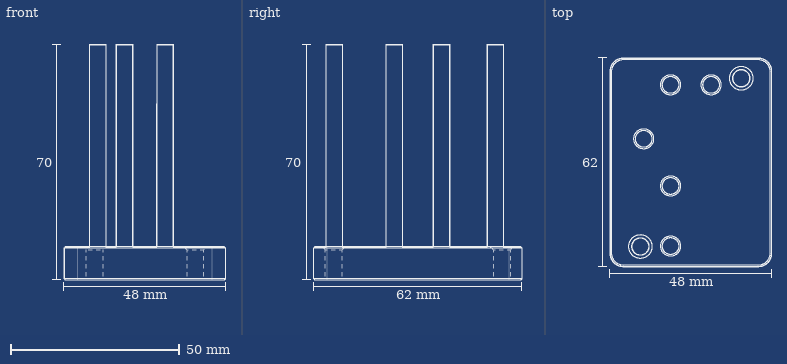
import cadquery as cq

plate_width = 48.0
plate_length = 62.0
plate_thickness = 10.0
corner_radius = 4.0
edge_chamfer = 0.5

total_height = 70.0
pin_diameter = 5.0
pin_recess_chamfer = 0.5
pin_column_x = 6.0
pin_back_y = 23.0
pin_middle_y = 7.0
pin_left_x = 14.0
pin_front_y = 24.85

hole_diameter = 5.05
hole_chamfer = 1.0
hole_x = 15.0
hole_y = 25.0

pin_positions = [
    (-pin_column_x, pin_back_y),
    (pin_column_x, pin_back_y),
    (-pin_left_x, pin_middle_y),
    (-pin_column_x, -pin_middle_y),
    (-pin_column_x, -pin_front_y),
]
hole_positions = [(hole_x, hole_y), (-hole_x, -hole_y)]


def make_plate():
    """Rounded plate resting on Z = 0, chamfered around both faces."""
    plate = cq.Workplane("XY").box(
        plate_width, plate_length, plate_thickness, centered=(True, True, False)
    )
    plate = plate.edges("|Z").fillet(corner_radius)
    return plate.faces("<Z or >Z").edges().chamfer(edge_chamfer)


def cut_chamfered_holes(plate, positions, diameter, chamfer):
    """Cut through holes with a 45 degree countersink at the top face."""
    return (
        plate.faces(">Z")
        .workplane(origin=(0, 0, plate_thickness))
        .pushPoints(positions)
        .cskHole(diameter, diameter + 2 * chamfer, 90)
    )


def make_pins():
    """Pins running from the underside of the plate to the full height."""
    return (
        cq.Workplane("XY")
        .pushPoints(pin_positions)
        .circle(pin_diameter / 2)
        .extrude(total_height)
    )


plate = make_plate()
plate = cut_chamfered_holes(plate, hole_positions, hole_diameter, hole_chamfer)
plate = cut_chamfered_holes(plate, pin_positions, pin_diameter, pin_recess_chamfer)
result = plate.union(make_pins())